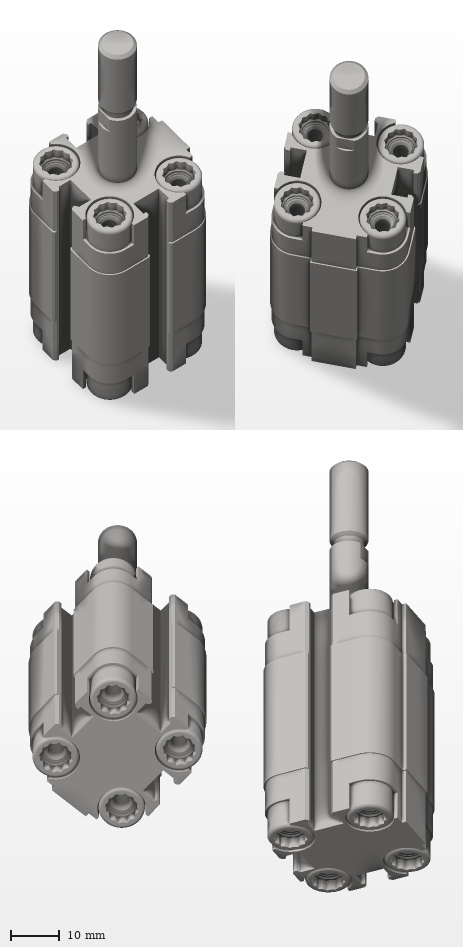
import cadquery as cq
import math


TOTAL_HEIGHT = 92.5
HOUSING_HEIGHT = 53.1
CAP_HEIGHT = 12.5
BARREL_HEIGHT = HOUSING_HEIGHT - 2 * CAP_HEIGHT

BARREL_HALF_WIDTH = 14.5
CORNER_RADIUS = 5.55
CAP_INSET = 0.3
SCREW_OFFSET = BARREL_HALF_WIDTH - CORNER_RADIUS
TAB_HALF_WIDTH = 4.9
TAB_HEIGHT = 0.9

SLOT_FLOOR = 9.5
NECK_HALF_WIDTH = 2.6
BARREL_FLARE = 0.4
CAP_FLARE = 0.6
SIDE_SLOT_HALF_WIDTH = 3.3
SIDE_LIP_INNER = 12.95
FRONT_SLOT_HALF_WIDTH = 3.4
FRONT_LIP_INNER_AT_WALL = 12.6
FRONT_LIP_INNER_AT_NECK = 13.1

POCKET_DEPTH = 6.1
POCKET_RADIUS = 5.0
POCKET_EDGE = 2.2
HEAD_RADIUS = 9.5 / 2
HEAD_ROUNDING = 0.7
SOCKET_ACROSS_FLATS = 6.1
SOCKET_DEPTH = 2.3
RECESS_RADIUS = 5.7 / 2
RECESS_DEPTH = 2.8
STEP_RADIUS = 5.0 / 2
STEP_DEPTH = 3.0
FUNNEL_RADIUS = 4.2 / 2
SCREW_HOLE_RADIUS = 3.2 / 2
FUNNEL_DEPTH = STEP_DEPTH + FUNNEL_RADIUS - SCREW_HOLE_RADIUS

ROD_RADIUS = 8.0 / 2
ROD_SEAT = HOUSING_HEIGHT - CAP_HEIGHT
ROD_SHOULDER = 72.6
NECK_TOP = 74.4
STUD_BOTTOM = 75.0
ROD_NECK_RADIUS = 6.5 / 2
ROD_CHAMFER_HEIGHT = 0.65
FLAT_BOTTOM = 68.7
ACROSS_FLATS = 7.0


def slot_cutter(half_width, lip_at_wall, lip_at_neck, face, flare, height):
    """Prism that cuts one undercut slot into the -Y side, whose surface lies at Y = -face."""
    half_outline = [
        (half_width, -SLOT_FLOOR),
        (half_width, -lip_at_wall),
        (NECK_HALF_WIDTH, -lip_at_neck),
        (NECK_HALF_WIDTH, -face + flare),
        (NECK_HALF_WIDTH + flare, -face),
    ]
    mirrored = [(-x, y) for x, y in reversed(half_outline)]
    return cq.Workplane("XY").polyline(half_outline + mirrored).close().extrude(height)


def housing_section(inset, flare, height):
    """Length of slotted profile, its outer faces set in from those of the barrel."""
    face = BARREL_HALF_WIDTH - inset
    section = cq.Workplane("XY").rect(2 * face, 2 * face).extrude(height)
    section = section.edges("|Z").fillet(CORNER_RADIUS - inset)
    tab_width = 2 * (TAB_HALF_WIDTH - inset)
    tab = cq.Workplane("XY").rect(tab_width, face + TAB_HEIGHT).extrude(height)
    section = section.union(tab.translate((0, (face + TAB_HEIGHT) / 2, 0)))

    front_slot = slot_cutter(
        FRONT_SLOT_HALF_WIDTH, FRONT_LIP_INNER_AT_WALL, FRONT_LIP_INNER_AT_NECK, face, flare, height
    )
    side_slot = slot_cutter(SIDE_SLOT_HALF_WIDTH, SIDE_LIP_INNER, SIDE_LIP_INNER, face, flare, height)
    section = section.cut(front_slot)
    for angle in (90, -90):
        section = section.cut(side_slot.rotate((0, 0, 0), (0, 0, 1), angle))
    return section


def screw_pocket():
    """Pocket at the +X +Y corner of a cap, open towards the corner, with its top at Z = 0."""
    round_part = cq.Workplane("XY").circle(POCKET_RADIUS).extrude(-POCKET_DEPTH)
    corner_part = (
        cq.Workplane("XY")
        .rect(CORNER_RADIUS + POCKET_EDGE, CORNER_RADIUS + POCKET_EDGE, centered=False)
        .extrude(-POCKET_DEPTH)
        .translate((-POCKET_EDGE, -POCKET_EDGE, 0))
    )
    return round_part.union(corner_part)


def screw_head():
    """Solid head with a rounded rim, its top face at Z = 0."""
    head = cq.Workplane("XY").circle(HEAD_RADIUS).extrude(-POCKET_DEPTH)
    return head.faces(">Z").edges().fillet(HEAD_ROUNDING)


def screw_socket():
    """Double-hexagon socket with the stepped, funnelled bore under it, starting at Z = 0."""
    across_corners = SOCKET_ACROSS_FLATS / math.cos(math.radians(30))
    hexagon = cq.Workplane("XY").polygon(6, across_corners).extrude(-SOCKET_DEPTH)
    star = hexagon.union(hexagon.rotate((0, 0, 0), (0, 0, 1), 30))
    profile = [
        (0, 0),
        (RECESS_RADIUS, 0),
        (RECESS_RADIUS, -RECESS_DEPTH),
        (STEP_RADIUS, -RECESS_DEPTH),
        (STEP_RADIUS, -STEP_DEPTH),
        (FUNNEL_RADIUS, -STEP_DEPTH),
        (SCREW_HOLE_RADIUS, -FUNNEL_DEPTH),
        (SCREW_HOLE_RADIUS, -HOUSING_HEIGHT / 2),
        (0, -HOUSING_HEIGHT / 2),
    ]
    bore = cq.Workplane("XZ").polyline(profile).close().revolve(360, (0, 0), (0, 1))
    return star.union(bore)


def at_corner(tool, quarter_turns, at_bottom):
    """Move a tool made for the +X +Y corner to any corner of the top or bottom face."""
    placed = tool.translate((SCREW_OFFSET, SCREW_OFFSET, HOUSING_HEIGHT))
    if at_bottom:
        placed = placed.mirror("XY", (0, 0, HOUSING_HEIGHT / 2))
    return placed.rotate((0, 0, 0), (0, 0, 1), 90 * quarter_turns)


def make_housing():
    cap = housing_section(CAP_INSET, CAP_FLARE, CAP_HEIGHT)
    barrel = housing_section(0, BARREL_FLARE, BARREL_HEIGHT)
    body = barrel.translate((0, 0, CAP_HEIGHT)).union(cap)
    body = body.union(cap.translate((0, 0, CAP_HEIGHT + BARREL_HEIGHT)))
    for at_bottom in (False, True):
        for quarter_turns in range(4):
            body = body.cut(at_corner(screw_pocket(), quarter_turns, at_bottom))
            body = body.union(at_corner(screw_head(), quarter_turns, at_bottom))
            body = body.cut(at_corner(screw_socket(), quarter_turns, at_bottom))
    rod_hole = cq.Workplane("XY").workplane(offset=ROD_SEAT).circle(ROD_RADIUS).extrude(CAP_HEIGHT)
    return body.cut(rod_hole)


def make_rod():
    profile = [
        (0, ROD_SEAT),
        (ROD_RADIUS, ROD_SEAT),
        (ROD_RADIUS, ROD_SHOULDER),
        (ROD_NECK_RADIUS, ROD_SHOULDER),
        (ROD_NECK_RADIUS, NECK_TOP),
        (ROD_RADIUS, STUD_BOTTOM),
        (ROD_RADIUS, TOTAL_HEIGHT - ROD_CHAMFER_HEIGHT),
        (ROD_NECK_RADIUS, TOTAL_HEIGHT),
        (0, TOTAL_HEIGHT),
    ]
    rod = cq.Workplane("XZ").polyline(profile).close().revolve(360, (0, 0), (0, 1))
    flat_height = ROD_SHOULDER - FLAT_BOTTOM
    for side in (-1, 1):
        cutter = cq.Workplane("XY").box(2 * ROD_RADIUS, ROD_RADIUS, flat_height)
        cutter_y = side * (ACROSS_FLATS + ROD_RADIUS) / 2
        rod = rod.cut(cutter.translate((0, cutter_y, FLAT_BOTTOM + flat_height / 2)))
    return rod


housing = make_housing()
rod = make_rod()

result = cq.Compound.makeCompound([housing.val(), rod.val()])